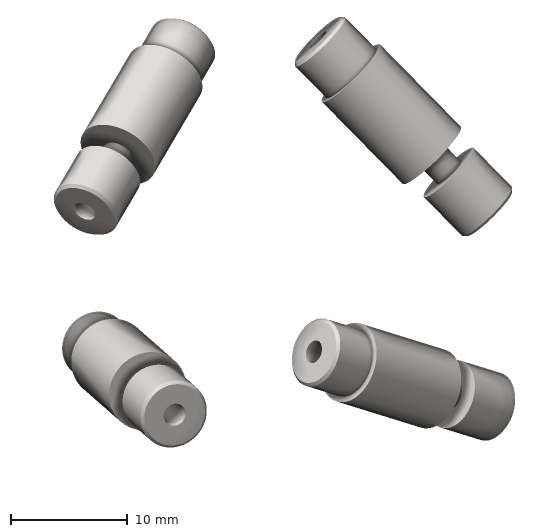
import cadquery as cq

total_length = 21.2
head_length = 5.0
neck_length = 2.1
body_length = 10.0
tail_length = total_length - head_length - neck_length - body_length

body_diameter = 7.0
end_diameter = 6.0
neck_diameter = 2.8
bore_diameter = 2.0
end_chamfer = 0.25


def cylinder(diameter, length, start):
    """Solid cylinder along +Y, beginning at Y = start."""
    return cq.Workplane("XZ", origin=(0, start, 0)).circle(diameter / 2).extrude(-length)


neck_start = head_length
body_start = neck_start + neck_length
tail_start = body_start + body_length

head = cylinder(end_diameter, head_length, 0).faces("<Y").chamfer(end_chamfer)
tail = cylinder(end_diameter, tail_length, tail_start).faces(">Y").chamfer(end_chamfer)

neck = cylinder(neck_diameter, neck_length, neck_start)
body = cylinder(body_diameter, body_length, body_start)

bore = cylinder(bore_diameter, total_length, 0)

result = head.union(neck).union(body).union(tail).cut(bore)